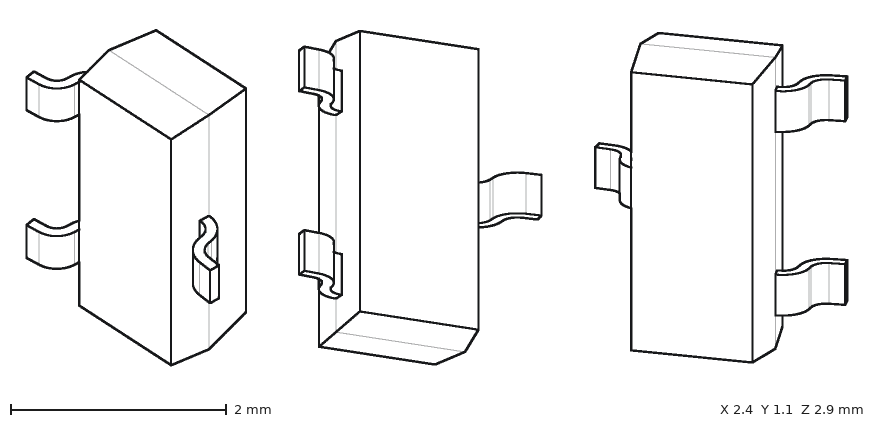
import cadquery as cq
import math

BODY_HEIGHT = 2.9
BODY_WIDTH = 1.3
BACK_DEPTH = 0.56
FRONT_DEPTH = 0.447
DRAFT_ANGLE = 6.7

LEAD_THICKNESS = 0.11
LEAD_WIDTH = 0.405
BEND_INNER_RADIUS = 0.15
LEG_LENGTH = 0.055
LEG_ANGLE = 83.0
FOOT_LENGTH = 0.15
FOOT_ANGLE = 5.0
SIDE_LEAD_OFFSET = 0.914

LEAD_PLACES = [(-1, SIDE_LEAD_OFFSET), (-1, -SIDE_LEAD_OFFSET), (1, 0.0)]


def make_body():
    """Two drafted blocks joined at the parting plane."""
    parting = cq.Workplane("XZ").rect(BODY_WIDTH, BODY_HEIGHT)
    front = parting.extrude(FRONT_DEPTH, taper=DRAFT_ANGLE)
    back = cq.Workplane("XZ").rect(BODY_WIDTH, BODY_HEIGHT).extrude(-BACK_DEPTH, taper=DRAFT_ANGLE)
    return front.union(back)


def step(point, length, angle):
    """Point reached by going outwards (+X) and down (-Y) at an angle in degrees."""
    slope = math.radians(angle)
    return (point[0] + length * math.cos(slope), point[1] - length * math.sin(slope))


def around(centre, radius, angle):
    """Point on a bend, where the angle in degrees is measured from +Y towards +X."""
    turn = math.radians(angle)
    return (centre[0] + radius * math.sin(turn), centre[1] + radius * math.cos(turn))


def make_lead(direction, middle_z):
    """Bent strip leaving the body just below the parting plane and ending in a foot."""
    inner = BEND_INNER_RADIUS
    outer = BEND_INNER_RADIUS + LEAD_THICKNESS
    root_x = BODY_WIDTH / 2

    upper_centre = (root_x, -outer)
    upper_middle = LEG_ANGLE / 2
    leg_end_top = step(around(upper_centre, outer, LEG_ANGLE), LEG_LENGTH, LEG_ANGLE)
    lower_centre = around(leg_end_top, inner, LEG_ANGLE)
    lower_start = LEG_ANGLE + 180
    lower_end = FOOT_ANGLE + 180
    lower_middle = (lower_start + lower_end) / 2
    foot_top = around(lower_centre, inner, lower_end)
    foot_bottom = around(lower_centre, outer, lower_end)

    draft = math.tan(math.radians(DRAFT_ANGLE))
    underside_root = (root_x - LEAD_THICKNESS * draft, -LEAD_THICKNESS)

    lead = (
        cq.Workplane("XY")
        .moveTo(root_x, 0)
        .threePointArc(around(upper_centre, outer, upper_middle), around(upper_centre, outer, LEG_ANGLE))
        .lineTo(*leg_end_top)
        .threePointArc(around(lower_centre, inner, lower_middle), foot_top)
        .lineTo(*step(foot_top, FOOT_LENGTH, FOOT_ANGLE))
        .lineTo(*step(foot_bottom, FOOT_LENGTH, FOOT_ANGLE))
        .lineTo(*foot_bottom)
        .threePointArc(around(lower_centre, outer, lower_middle), around(lower_centre, outer, lower_start))
        .lineTo(*around(upper_centre, inner, LEG_ANGLE))
        .threePointArc(around(upper_centre, inner, upper_middle), around(upper_centre, inner, 0))
        .lineTo(*underside_root)
        .close()
        .extrude(LEAD_WIDTH / 2, both=True)
    )
    if direction < 0:
        lead = lead.mirror("YZ")
    return lead.translate((0, 0, middle_z))


body = make_body()
leads = [make_lead(direction, middle_z) for direction, middle_z in LEAD_PLACES]

result = cq.Compound.makeCompound([body.solids().val(), *[lead.solids().val() for lead in leads]])